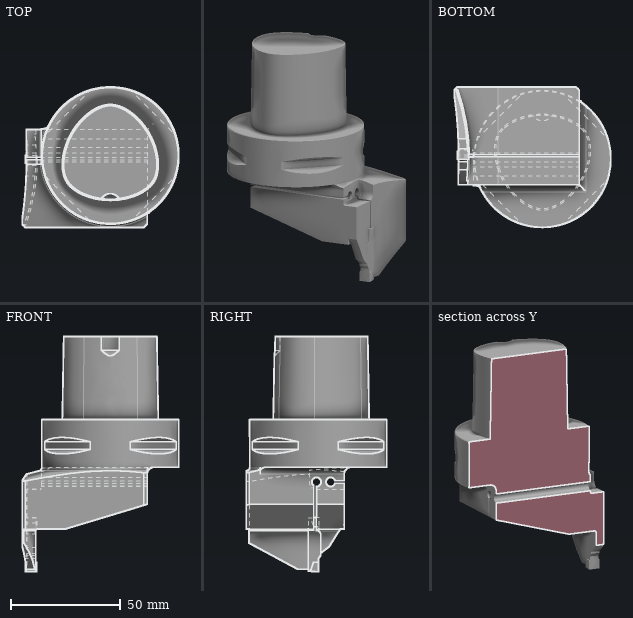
import cadquery as cq
import math


OVERALL_X = 71.9
OVERALL_Y = 64.5
OVERALL_Z = 108.0

SHANK_HEIGHT = 38.0
SHANK_BASE_RADIUS = 22.0
SHANK_TOP_RADIUS = 21.4
LOBE_SIZE = 1.4
LOBES = 3
FLAT_HALF_ANGLE = 24
CURVE_POINTS = 9

NOTCH_RADIUS = 4.8
NOTCH_AXIS_Y = -22.2
NOTCH_DEPTH = 6.4

FLANGE_RADIUS = 63.0 / 2
FLANGE_HEIGHT = 22.0
FLANGE_CHAMFER = 0.3
GROOVE_COUNT = 4
GROOVE_FLOOR_RADIUS = 27.8
GROOVE_Z = -12.1
GROOVE_FLOOR_WIDTH = 3.5
GROOVE_MOUTH_WIDTH = 7.6
GROOVE_OVERRUN = 1.1

CONE_ANGLE = 14.5
CONE_CORNER_Z = -23.2
CONE_BLEND = 1.3
CONE_REACH = 64.8

LEFT_X = FLANGE_RADIUS - OVERALL_X
RIGHT_X = 17.0
FRONT_Y = FLANGE_RADIUS - OVERALL_Y
BACK_Y = 12.0
CORNER_CHAMFER = 1.5
LEFT_ARC_X = -38.3
LEFT_ARC_FRONT_Y = -29.4
LEFT_ARC_BACK_Y = 10.2
BLOCK_BOTTOM_Z = -50.3
RAMP_START_X = -20.5
RAMP_END_Z = -39.0
COVE_RADIUS = 3.0

BLADE_INNER_X = -34.1
BLADE_INNER_RADIUS = 95.0
BLADE_FRONT_Y = -31.8
BLADE_FRONT_END_Z = -56.7
BLADE_TIP_FRONT_Y = -9.3
BLADE_TIP_Z = -68.8
BLADE_KNEE = (5.0, -58.5)
BLADE_BACK_END = (1.3, -61.3)
BLADE_ROOT_FILLET = 0.8

CLAMP_HOLE_RADIUS = 2.0
CLAMP_HOLE_Z = -28.7
BACK_HOLE_Y = 5.7
FRONT_HOLE_Y = -0.8
SLIT_WIDTH = 1.1
LONG_SLIT_Y = -1.4

RELIEF_FLOOR_X = -31.6
RELIEF_CORNER_RADIUS = 3.3
RELIEF_FLOOR_FILLET = 0.8

INSERT_LENGTH = 25.2
INSERT_BOTTOM_Z = SHANK_HEIGHT - OVERALL_Z
INSERT_LEFT_X = -38.5
INSERT_BACK_Y = 0.2
INSERT_FRONT_Y = -4.5
INSERT_END_DROP = 0.3
BULGE_Y = 1.3
BULGE_HALF_LENGTH = 4.9
BULGE_FOOT_HALF_LENGTH = 6.4
TIP_LENGTH = 4.4
TIP_END_Y = -3.6
TIP_ROOT_Y = -2.2
TIP_PROUD = 0.4


def lobed_point(mean_radius, angle, z):
    """Point of the lobed outline whose outward normal is `angle` degrees round from -Y."""
    a = math.radians(angle)
    support = mean_radius - LOBE_SIZE * math.cos(LOBES * a)
    slope = LOBES * LOBE_SIZE * math.sin(LOBES * a)
    x = support * math.sin(a) + slope * math.cos(a)
    y = slope * math.sin(a) - support * math.cos(a)
    return cq.Vector(x, y, z)


def lobed_stretch(mean_radius, start, end, z):
    """One flat or one lobe as a curve from normal angle `start` to `end`."""
    step = (end - start) / (CURVE_POINTS - 1)
    points = [lobed_point(mean_radius, start + i * step, z) for i in range(CURVE_POINTS)]
    tangents = [cq.Vector(math.cos(math.radians(a)), math.sin(math.radians(a)), 0) for a in (start, end)]
    return cq.Edge.makeSpline(points, tangents)


def lobed_wire(mean_radius, z):
    pitch = 360 / LOBES
    edges = []
    for i in range(LOBES):
        flat = i * pitch
        flat_end = flat + FLAT_HALF_ANGLE
        next_flat_start = flat + pitch - FLAT_HALF_ANGLE
        edges.append(lobed_stretch(mean_radius, flat - FLAT_HALF_ANGLE, flat_end, z))
        edges.append(lobed_stretch(mean_radius, flat_end, next_flat_start, z))
    return cq.Wire.assembleEdges(edges)


def make_notch():
    """Round-nosed notch with a 45 degree conical end."""
    end_z = SHANK_HEIGHT - NOTCH_DEPTH
    profile = [(0, SHANK_HEIGHT), (NOTCH_RADIUS, SHANK_HEIGHT), (NOTCH_RADIUS, end_z), (0, end_z - NOTCH_RADIUS)]
    notch = cq.Workplane("XZ").polyline(profile).close().revolve(360, (0, 0, 0), (0, 1, 0))
    return notch.translate((0, NOTCH_AXIS_Y, 0))


def make_shank():
    base = lobed_wire(SHANK_BASE_RADIUS, 0)
    top = lobed_wire(SHANK_TOP_RADIUS, SHANK_HEIGHT)
    return cq.Workplane(cq.Solid.makeLoft([base, top], True)).cut(make_notch())


def make_groove():
    """Straight trapezoidal groove on the +X side, widening past the flange's rim."""
    flare = (GROOVE_MOUTH_WIDTH - GROOVE_FLOOR_WIDTH) / 2 / (FLANGE_RADIUS - GROOVE_FLOOR_RADIUS)
    outer_radius = FLANGE_RADIUS + GROOVE_OVERRUN
    floor_half = GROOVE_FLOOR_WIDTH / 2
    outer_half = floor_half + flare * (outer_radius - GROOVE_FLOOR_RADIUS)
    profile = [
        (GROOVE_FLOOR_RADIUS, GROOVE_Z - floor_half),
        (outer_radius, GROOVE_Z - outer_half),
        (outer_radius, GROOVE_Z + outer_half),
        (GROOVE_FLOOR_RADIUS, GROOVE_Z + floor_half),
    ]
    return cq.Workplane("XZ").polyline(profile).close().extrude(FLANGE_RADIUS, both=True)


def make_flange():
    flange = cq.Workplane("XY").circle(FLANGE_RADIUS).extrude(-FLANGE_HEIGHT)
    flange = flange.faces(">Z").edges().chamfer(FLANGE_CHAMFER)
    for i in range(GROOVE_COUNT):
        angle = (i + 0.5) * 360 / GROOVE_COUNT
        flange = flange.cut(make_groove().rotate((0, 0, 0), (0, 0, 1), angle))
    return flange


def make_cone_envelope():
    """Everything under the head's conical top, with the cone blended up into the flange."""
    slope = math.tan(math.radians(CONE_ANGLE))
    turn = math.radians(90 - CONE_ANGLE)
    tangent_length = CONE_BLEND * math.tan(turn / 2)
    blend_end_r = FLANGE_RADIUS + tangent_length * math.cos(math.radians(CONE_ANGLE))
    blend_end_z = CONE_CORNER_Z - slope * (blend_end_r - FLANGE_RADIUS)
    return (
        cq.Workplane("XZ")
        .moveTo(0, -FLANGE_HEIGHT)
        .lineTo(FLANGE_RADIUS, -FLANGE_HEIGHT)
        .lineTo(FLANGE_RADIUS, CONE_CORNER_Z + tangent_length)
        .radiusArc((blend_end_r, blend_end_z), -CONE_BLEND)
        .lineTo(CONE_REACH, CONE_CORNER_Z - slope * (CONE_REACH - FLANGE_RADIUS))
        .lineTo(CONE_REACH, INSERT_BOTTOM_Z)
        .lineTo(0, INSERT_BOTTOM_Z)
        .close()
        .revolve(360, (0, 0, 0), (0, 1, 0))
    )


def make_plan_prism():
    """Upright prism on the head's plan outline, with a hollow left face."""
    sag = LEFT_ARC_X - LEFT_X
    arc_radius = (sag**2 + LEFT_ARC_FRONT_Y**2) / (2 * sag)
    back_x = LEFT_ARC_X - arc_radius + math.sqrt(arc_radius**2 - LEFT_ARC_BACK_Y**2)
    return (
        cq.Workplane("XY")
        .workplane(offset=INSERT_BOTTOM_Z)
        .moveTo(back_x, BACK_Y)
        .lineTo(back_x, LEFT_ARC_BACK_Y)
        .threePointArc((LEFT_ARC_X, 0), (LEFT_X, LEFT_ARC_FRONT_Y))
        .lineTo(LEFT_X, FRONT_Y + CORNER_CHAMFER)
        .lineTo(LEFT_X + CORNER_CHAMFER, FRONT_Y)
        .lineTo(RIGHT_X - CORNER_CHAMFER, FRONT_Y)
        .lineTo(RIGHT_X, FRONT_Y + CORNER_CHAMFER)
        .lineTo(RIGHT_X, BACK_Y)
        .close()
        .extrude(-FLANGE_HEIGHT - INSERT_BOTTOM_Z)
    )


def make_block(plan_prism):
    profile = [
        (LEFT_X, 0),
        (LEFT_X, BLOCK_BOTTOM_Z),
        (RAMP_START_X, BLOCK_BOTTOM_Z),
        (RIGHT_X, RAMP_END_Z),
        (RIGHT_X, 0),
    ]
    side = cq.Workplane("XZ").polyline(profile).close().extrude(CONE_REACH, both=True)
    return plan_prism.intersect(side)


def make_blade(plan_prism):
    """Curved blade between the hollow left face and a bulging inner face."""
    inner = (
        cq.Workplane("XY")
        .workplane(offset=INSERT_BOTTOM_Z)
        .center(BLADE_INNER_X - BLADE_INNER_RADIUS, 0)
        .circle(BLADE_INNER_RADIUS)
        .extrude(-INSERT_BOTTOM_Z)
    )
    profile = [
        (BLADE_FRONT_Y, BLOCK_BOTTOM_Z),
        (BLADE_FRONT_Y, BLADE_FRONT_END_Z),
        (BLADE_TIP_FRONT_Y, BLADE_TIP_Z),
        (INSERT_FRONT_Y, BLADE_TIP_Z),
        (INSERT_FRONT_Y, BLADE_BACK_END[1]),
        BLADE_BACK_END,
        BLADE_KNEE,
        (LEFT_ARC_BACK_Y, BLOCK_BOTTOM_Z),
    ]
    side = cq.Workplane("YZ").polyline(profile).close().extrude(LEFT_X)
    return plan_prism.intersect(inner).intersect(side)


def make_knee_bevel():
    """Wedge that carries the blade's upper back slope on across the block's lower back corner."""
    knee_y, knee_z = BLADE_KNEE
    slope = (BLOCK_BOTTOM_Z - knee_z) / (LEFT_ARC_BACK_Y - knee_y)
    profile = [
        (LEFT_ARC_BACK_Y, BLOCK_BOTTOM_Z),
        (BACK_Y, BLOCK_BOTTOM_Z),
        (BACK_Y, BLOCK_BOTTOM_Z + slope * (BACK_Y - LEFT_ARC_BACK_Y)),
    ]
    wedge = cq.Workplane("YZ").polyline(profile).close().extrude(BLADE_INNER_X - LEFT_X)
    return wedge.translate((LEFT_X, 0, 0))


def make_coves():
    """Concave blends from the flange's underside into the back and right walls."""
    size = COVE_RADIUS
    bottom = -FLANGE_HEIGHT - size
    back_length = RIGHT_X + size - LEFT_X
    right_start_y = -math.sqrt(FLANGE_RADIUS**2 - RIGHT_X**2)
    right_length = BACK_Y + size - right_start_y
    back = cq.Workplane("XY").box(back_length, size, size, centered=False).translate((LEFT_X, BACK_Y, bottom))
    right = cq.Workplane("XY").box(size, right_length, size, centered=False).translate((RIGHT_X, right_start_y, bottom))
    back_round = cq.Workplane("YZ").center(BACK_Y + size, bottom).circle(size).extrude(back_length)
    right_round = cq.Workplane("XZ").center(RIGHT_X + size, bottom).circle(size).extrude(-right_length)
    coves = back.union(right)
    return coves.cut(back_round.translate((LEFT_X, 0, 0))).cut(right_round.translate((0, right_start_y, 0)))


def make_relief():
    """Relief left of the clamp, its lower front corner concentric with the front hole."""
    front_y = FRONT_HOLE_Y - RELIEF_CORNER_RADIUS
    bottom = CLAMP_HOLE_Z - RELIEF_CORNER_RADIUS
    length_y = BACK_Y + 2 * COVE_RADIUS - front_y
    depth = RELIEF_FLOOR_X - LEFT_X
    relief = (
        cq.Workplane("XY")
        .box(depth, length_y, -bottom, centered=False)
        .translate((LEFT_X, front_y, bottom))
        .edges("<Y and <Z")
        .fillet(RELIEF_CORNER_RADIUS)
    )
    floor_edges = relief.faces(">X").edges("not(>Z or >Y)")
    return floor_edges.fillet(RELIEF_FLOOR_FILLET)


def make_clamp_cuts():
    """Two holes, a short slit to the back and a long slit down to the insert's seat."""
    length = RIGHT_X - LEFT_X + 2 * COVE_RADIUS
    holes = (
        cq.Workplane("YZ")
        .pushPoints([(BACK_HOLE_Y, CLAMP_HOLE_Z), (FRONT_HOLE_Y, CLAMP_HOLE_Z)])
        .circle(CLAMP_HOLE_RADIUS)
        .extrude(length)
    )
    short_slit = (
        cq.Workplane("YZ")
        .center((BACK_HOLE_Y + BACK_Y) / 2, CLAMP_HOLE_Z)
        .rect(BACK_Y - BACK_HOLE_Y, SLIT_WIDTH)
        .extrude(length)
    )
    long_slit = (
        cq.Workplane("YZ")
        .center(LONG_SLIT_Y, (CLAMP_HOLE_Z + INSERT_BOTTOM_Z) / 2)
        .rect(SLIT_WIDTH, CLAMP_HOLE_Z - INSERT_BOTTOM_Z)
        .extrude(length)
    )
    return holes.union(short_slit).union(long_slit).translate((LEFT_X, 0, 0))


def make_insert():
    """Insert with a bulged back and two cutting tips, alike about its middle height."""
    half = INSERT_LENGTH / 2
    front_half = half - INSERT_END_DROP
    middle_z = INSERT_BOTTOM_Z + half
    outline = [
        (INSERT_FRONT_Y, -front_half),
        (INSERT_BACK_Y, -half),
        (INSERT_BACK_Y, -BULGE_FOOT_HALF_LENGTH),
        (BULGE_Y, -BULGE_HALF_LENGTH),
        (BULGE_Y, BULGE_HALF_LENGTH),
        (INSERT_BACK_Y, BULGE_FOOT_HALF_LENGTH),
        (INSERT_BACK_Y, half),
        (INSERT_FRONT_Y, front_half),
    ]
    width = BLADE_INNER_X - INSERT_LEFT_X
    insert = cq.Workplane("YZ").polyline(outline).close().extrude(width)

    end_slope = INSERT_END_DROP / (INSERT_BACK_Y - INSERT_FRONT_Y)
    tip_end_half = half - end_slope * (INSERT_BACK_Y - TIP_END_Y)
    tip_root = half - TIP_LENGTH
    for side in (-1, 1):
        tip_outline = [
            (INSERT_BACK_Y, side * half),
            (TIP_END_Y, side * tip_end_half),
            (TIP_ROOT_Y, side * tip_root),
            (INSERT_BACK_Y, side * tip_root),
        ]
        tip = cq.Workplane("YZ").polyline(tip_outline).close().extrude(width + 2 * TIP_PROUD)
        insert = insert.union(tip.translate((-TIP_PROUD, 0, 0)))
    return insert.translate((INSERT_LEFT_X, 0, middle_z))


def make_head():
    plan_prism = make_plan_prism()
    blade = make_blade(plan_prism)
    block = make_block(plan_prism).union(make_coves()).intersect(make_cone_envelope())
    head = block.union(blade)
    root = cq.selectors.BoxSelector(
        (LEFT_ARC_X, BLADE_FRONT_Y, BLOCK_BOTTOM_Z - BLADE_ROOT_FILLET),
        (BLADE_INNER_X, LEFT_ARC_BACK_Y, BLOCK_BOTTOM_Z + BLADE_ROOT_FILLET),
    )
    head = head.edges(root).fillet(BLADE_ROOT_FILLET)
    return head.cut(make_relief()).cut(make_knee_bevel())


insert = make_insert()
holder = make_shank().union(make_flange()).union(make_head())
holder = holder.cut(make_clamp_cuts()).cut(insert)

result = cq.Compound.makeCompound([*holder.solids().vals(), *insert.solids().vals()])